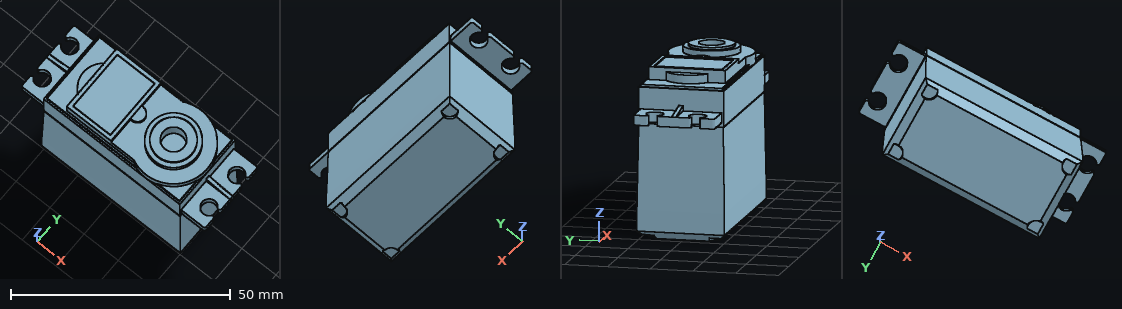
import cadquery as cq

BEVEL_TOP = 2.0
BASE_TOP = 7.0
BODY_TOP = 27.05
FLANGE_BOTTOM = 28.1
FLANGE_TOP = 30.4
RIB_TOP = 31.65
CASE_TOP = 35.5
LIP_TOP = 36.0
COVER_TOP = 38.0
STUD_TOP = 38.8
PAD_TOP = 39.0
COLLAR_TOP = 39.5
OVERALL_HEIGHT = 40.0

BASE_LENGTH = 40.75
BASE_WIDTH = 20.5
BODY_DRAFT = 1.0
CASE_LENGTH = 39.95
CASE_WIDTH = 20.0
LIP_INSET = 0.5
CORNER_RECESS_DIAMETER = 4.0
CORNER_RECESS_DEPTH = 1.0

OVERALL_LENGTH = 54.0
FLANGE_WIDTH = 19.0
FLANGE_CORNER_RADIUS = 0.55
MOUNT_HOLE_DIAMETER = 4.05
MOUNT_HOLE_SPACING_X = 49.05
MOUNT_HOLE_SPACING_Y = 10.0
MOUNT_MOUTH_WIDTH = 2.0
RIB_WIDTH = 1.0

COVER_DIAMETER = CASE_WIDTH
OUTPUT_X = (CASE_LENGTH - COVER_DIAMETER) / 2
COVER_START_X = -14.05
COVER_WIDTH = 18.0
PAD_LENGTH = 13.0
PAD_RECESS_MARGIN = 1.0
PAD_RECESS_DEPTH = 0.2
END_DISC_DIAMETER = 12.0
END_DISC_X = -10.55
STUD_DIAMETER = 4.0
STUD_LENGTH = 2.5
COLLAR_DIAMETER = 13.2
BOSS_DIAMETER = 10.8
BORE_DIAMETER = 6.0
BORE_FLOOR = CASE_TOP


def block(x_start, length, width, bottom, top):
    """Box centred on Y, starting at x_start and spanning bottom to top."""
    box = cq.Workplane("XY").box(length, width, top - bottom, centered=(False, True, False))
    return box.translate((x_start, 0, bottom))


def centred_block(length, width, bottom, top):
    return block(-length / 2, length, width, bottom, top)


def disc(x, diameter, bottom, top):
    """Vertical cylinder on the XZ plane of symmetry."""
    return cq.Workplane("XY", origin=(x, 0, bottom)).circle(diameter / 2).extrude(top - bottom)


def make_base():
    """Lower cover: bevelled underside with a shallow round recess at each corner."""
    base = centred_block(BASE_LENGTH, BASE_WIDTH, 0, BASE_TOP).faces("<Z").chamfer(BEVEL_TOP)
    recesses = (
        cq.Workplane("XY")
        .rect(BASE_LENGTH - 2 * BEVEL_TOP, BASE_WIDTH - 2 * BEVEL_TOP, forConstruction=True)
        .vertices()
        .circle(CORNER_RECESS_DIAMETER / 2)
        .extrude(CORNER_RECESS_DEPTH)
    )
    return base.cut(recesses)


def make_body():
    """Middle section, tapering inwards towards the top."""
    return (
        cq.Workplane("XY", origin=(0, 0, BASE_TOP))
        .rect(BASE_LENGTH, BASE_WIDTH)
        .extrude(BODY_TOP - BASE_TOP, taper=BODY_DRAFT)
    )


def make_case():
    """Upper case with a slightly smaller raised top."""
    case = centred_block(CASE_LENGTH, CASE_WIDTH, BODY_TOP, CASE_TOP)
    lip = centred_block(CASE_LENGTH - 2 * LIP_INSET, CASE_WIDTH - 2 * LIP_INSET, CASE_TOP, LIP_TOP)
    return case.union(lip)


def make_flanges():
    """Both mounting flanges as one plate through the case, with open-ended screw holes."""
    plate = centred_block(OVERALL_LENGTH, FLANGE_WIDTH, FLANGE_BOTTOM, FLANGE_TOP)
    thickness = FLANGE_TOP - FLANGE_BOTTOM
    mouth_length = (OVERALL_LENGTH - MOUNT_HOLE_SPACING_X) / 2
    mouth_x = (OVERALL_LENGTH - mouth_length) / 2
    mouths = (
        cq.Workplane("XY", origin=(0, 0, FLANGE_BOTTOM))
        .rect(2 * mouth_x, MOUNT_HOLE_SPACING_Y, forConstruction=True)
        .vertices()
        .rect(mouth_length, MOUNT_MOUTH_WIDTH)
        .extrude(thickness)
    )
    holes = (
        cq.Workplane("XY", origin=(0, 0, FLANGE_BOTTOM))
        .rect(MOUNT_HOLE_SPACING_X, MOUNT_HOLE_SPACING_Y, forConstruction=True)
        .vertices()
        .circle(MOUNT_HOLE_DIAMETER / 2)
        .extrude(thickness)
    )
    plate = plate.cut(mouths)
    for end in ("<X", ">X"):
        plate = plate.faces(end).edges("|Z").fillet(FLANGE_CORNER_RADIUS)
    return plate.cut(holes)


def make_ribs():
    """Wedges that slope from the case walls down to the flange tips."""
    wall_x = CASE_LENGTH / 2
    tip_x = OVERALL_LENGTH / 2
    return (
        cq.Workplane("XZ")
        .moveTo(-tip_x, FLANGE_TOP)
        .lineTo(-wall_x, RIB_TOP)
        .lineTo(wall_x, RIB_TOP)
        .lineTo(tip_x, FLANGE_TOP)
        .close()
        .extrude(RIB_WIDTH / 2, both=True)
    )


def make_gear_cover():
    """Cover plate with a round end, a recessed pad, an end disc and a small stud."""
    cover = block(COVER_START_X, OUTPUT_X - COVER_START_X, COVER_WIDTH, CASE_TOP, COVER_TOP)
    cover = cover.union(disc(OUTPUT_X, COVER_DIAMETER, CASE_TOP, COVER_TOP))
    cover = cover.union(disc(END_DISC_X, END_DISC_DIAMETER, CASE_TOP, COVER_TOP))

    pad_end_x = COVER_START_X + PAD_LENGTH
    stud_radius = STUD_DIAMETER / 2
    stud_x = pad_end_x + STUD_LENGTH - stud_radius
    pad = block(COVER_START_X, PAD_LENGTH, COVER_WIDTH, CASE_TOP, PAD_TOP)
    stud = disc(stud_x, STUD_DIAMETER, CASE_TOP, STUD_TOP)
    stud = stud.union(block(pad_end_x, stud_x - pad_end_x, STUD_DIAMETER, CASE_TOP, STUD_TOP))
    recess = block(
        COVER_START_X + PAD_RECESS_MARGIN,
        PAD_LENGTH - 2 * PAD_RECESS_MARGIN,
        COVER_WIDTH - 2 * PAD_RECESS_MARGIN,
        PAD_TOP - PAD_RECESS_DEPTH,
        PAD_TOP,
    )
    return cover.union(stud).union(pad).cut(recess)


def make_output_boss():
    collar = disc(OUTPUT_X, COLLAR_DIAMETER, CASE_TOP, COLLAR_TOP)
    return collar.union(disc(OUTPUT_X, BOSS_DIAMETER, CASE_TOP, OVERALL_HEIGHT))


result = make_base()
for section in (
    make_body(),
    make_case(),
    make_flanges(),
    make_ribs(),
    make_gear_cover(),
    make_output_boss(),
):
    result = result.union(section)
result = result.cut(disc(OUTPUT_X, BORE_DIAMETER, BORE_FLOOR, OVERALL_HEIGHT))